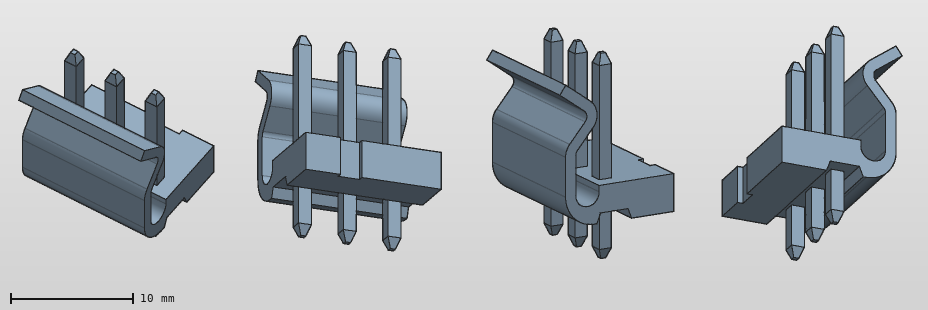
import cadquery as cq
import math

width = 11.99
body_back = 5.62
body_front = -1.43
body_height = 3.23

sheet = 0.96
arm_front = -4.59
heel_radius = 2.69

bend_inner = 0.65
bend_outer = bend_inner + sheet
lower_bend_z = 6.07
upper_bend_y = -3.23
upper_bend_z = 9.25
lip_angle = math.radians(36)
lip_front = -5.13

recess_depth = 0.87
recess_top_half = 1.3
recess_bottom_half = 1.64

pin_count = 3
pin_pitch = 3.96
pin_width = 1.15
pin_tip_width = 0.45
pin_taper = 0.9
pin_bottom = -3.61
pin_length = 17.45

notch_width = 1.88
notch_depth = 0.49
notch_x = pin_pitch / 2


def on_circle(center, radius, angle):
    """Point (y, z) on a circle, angle measured from +Y towards +Z."""
    return (center[0] + radius * math.cos(angle), center[1] + radius * math.sin(angle))


def make_body():
    """Base block and bent latch arm, one profile extruded along X."""
    arm_back = arm_front + sheet
    slot_radius = (body_front - arm_back) / 2
    slot_center = (body_front - slot_radius, heel_radius)
    heel_center = (arm_front + heel_radius, heel_radius)
    lower = (arm_front + bend_outer, lower_bend_z)
    upper = (upper_bend_y, upper_bend_z)

    run_y = upper[0] - lower[0]
    run_z = upper[1] - lower[1]
    slope_turn = math.asin((bend_inner + bend_outer) / math.hypot(run_y, run_z))
    slope_angle = math.atan2(run_z, run_y) - slope_turn
    slope_normal = slope_angle - math.pi / 2
    lower_end = slope_normal + math.pi
    lower_mid = (lower_end + math.pi) / 2
    lip_normal = math.pi / 2 - lip_angle
    upper_mid = (slope_normal + lip_normal) / 2

    lip_start = on_circle(upper, bend_inner, lip_normal)
    lip_low = (lip_front, lip_start[1] + (lip_start[0] - lip_front) * math.tan(lip_angle))
    lip_high = on_circle(lip_low, sheet, lip_normal)

    profile = (
        cq.Workplane("YZ", origin=(-width / 2, 0, 0))
        .moveTo(body_back, 0)
        .lineTo(body_back, body_height)
        .lineTo(body_front, body_height)
        .lineTo(body_front, slot_center[1])
        .threePointArc(
            on_circle(slot_center, slot_radius, -math.pi / 2),
            (arm_back, slot_center[1]),
        )
        .lineTo(arm_back, lower_bend_z)
        .threePointArc(
            on_circle(lower, bend_inner, lower_mid),
            on_circle(lower, bend_inner, lower_end),
        )
        .lineTo(*on_circle(upper, bend_outer, slope_normal))
        .threePointArc(
            on_circle(upper, bend_outer, upper_mid),
            on_circle(upper, bend_outer, lip_normal),
        )
        .lineTo(*lip_high)
        .lineTo(*lip_low)
        .lineTo(*lip_start)
        .threePointArc(
            on_circle(upper, bend_inner, upper_mid),
            on_circle(upper, bend_inner, slope_normal),
        )
        .lineTo(*on_circle(lower, bend_outer, lower_end))
        .threePointArc(
            on_circle(lower, bend_outer, lower_mid),
            (arm_front, lower_bend_z),
        )
        .lineTo(arm_front, heel_radius)
        .threePointArc(
            on_circle(heel_center, heel_radius, -0.75 * math.pi),
            (heel_center[0], 0),
        )
        .lineTo(-recess_bottom_half, 0)
        .lineTo(-recess_top_half, recess_depth)
        .lineTo(recess_top_half, recess_depth)
        .lineTo(recess_bottom_half, 0)
        .close()
    )
    return profile.extrude(width)


def make_notch():
    """Keying notch through the full height of the back face."""
    return (
        cq.Workplane("XY")
        .center(notch_x, body_back - notch_depth / 2)
        .rect(notch_width, notch_depth)
        .extrude(body_height)
    )


def make_pin(x):
    """Square pin with a tapered tip at each end."""
    half = pin_width / 2
    half_tip = pin_tip_width / 2
    taper_angle = math.degrees(math.atan((half - half_tip) / pin_taper))
    shank_length = pin_length - 2 * pin_taper
    shank = (
        cq.Workplane("XY", origin=(x, 0, pin_bottom + pin_taper))
        .rect(pin_width, pin_width)
        .extrude(shank_length)
    )
    top_tip = shank.faces(">Z").workplane().rect(pin_width, pin_width).extrude(
        pin_taper, taper=taper_angle
    )
    return top_tip.faces("<Z").workplane().rect(pin_width, pin_width).extrude(
        pin_taper, taper=taper_angle
    )


result = make_body().cut(make_notch())
for index in range(pin_count):
    pin_x = (index - (pin_count - 1) / 2) * pin_pitch
    result = result.union(make_pin(pin_x))